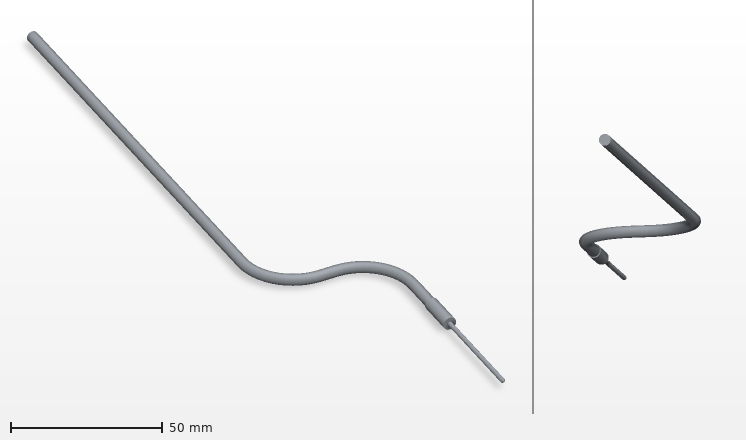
import cadquery as cq

overall_length = 249.0
rod_diameter = 4.0
bend_radius = 19.0
middle_length = 6.2
neck_length = 12.7
collar_diameter = 4.7
collar_length = 13.0
needle_diameter = 1.62
needle_length = 37.9
tip_chamfer = 0.5

collar_start = overall_length - needle_length - collar_length
neck_start = collar_start - neck_length
middle_x = neck_start - bend_radius
first_bend_start = middle_x - bend_radius
middle_end_y = bend_radius + middle_length
offset_y = middle_end_y + bend_radius


def make_rod():
    """Round rod swept along an S-shaped centreline in the XY plane."""
    centreline = (
        cq.Workplane("XY")
        .lineTo(first_bend_start, 0)
        .tangentArcPoint((middle_x, bend_radius), relative=False)
        .lineTo(middle_x, middle_end_y)
        .tangentArcPoint((neck_start, offset_y), relative=False)
        .lineTo(collar_start, offset_y)
    )
    return cq.Workplane("YZ").circle(rod_diameter / 2).sweep(centreline)


def make_cylinder(start_x, diameter, length):
    """Cylinder along X on the axis of the offset end."""
    return (
        cq.Workplane("YZ", origin=(start_x, offset_y, 0))
        .circle(diameter / 2)
        .extrude(length)
    )


collar = make_cylinder(collar_start, collar_diameter, collar_length)
needle = make_cylinder(collar_start + collar_length, needle_diameter, needle_length)
needle = needle.faces(">X").chamfer(tip_chamfer)

result = make_rod().union(collar).union(needle)